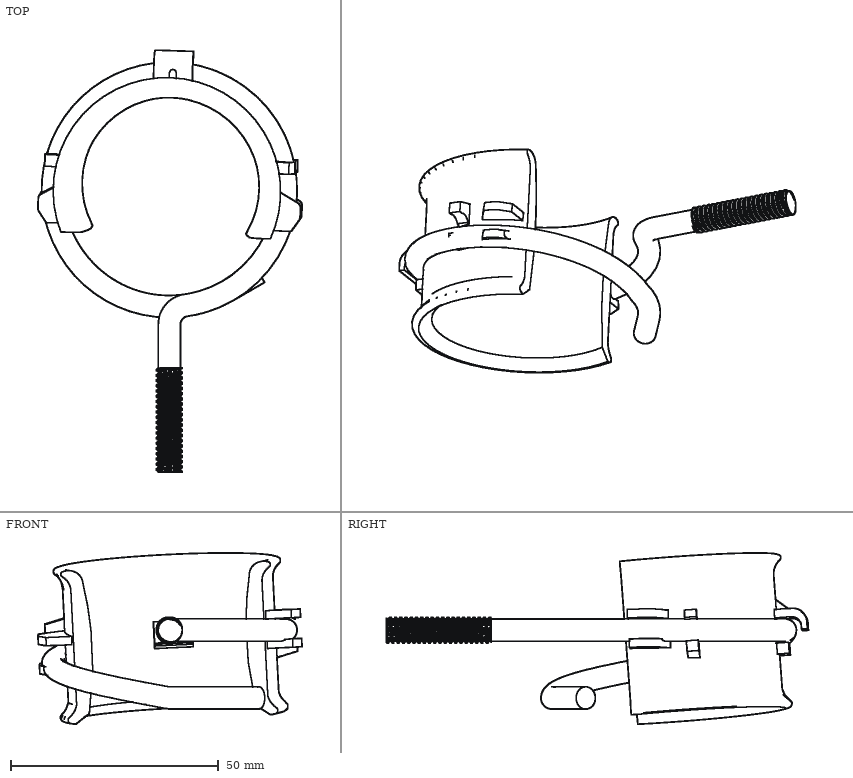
import cadquery as cq
import math


WIRE_RADIUS = 2.69
RING_RADIUS = 28.11
BEND_RADIUS = 4.7
STUD_TIP_Y = -68.0
RING_DROP = 16.4
END_ARC_ANGLE = 30.0
END_LENGTH = 8.7

THREAD_LENGTH = 25.2
THREAD_TURNS = 20
CREST_RADIUS = 3.2
CREST_WIDTH = 0.25
ROOT_WIDTH = 1.0
ROOT_OVERLAP = 0.1

SADDLE_HEIGHT = 37.2
WALL_RADIUS = 25.4
LIP_RADIUS = 27.5
THROAT_RADIUS = 21.5
THROAT_Z = 0.8
MOUTH_RADIUS = 22.8
TOP_MOUTH_DEPTH = 2.9
BOTTOM_MOUTH_DEPTH = 2.4
TOP_FLARE_DEPTH = 5.0
BOTTOM_FLARE_DEPTH = 4.7
FLARE_SAG = 0.5
TOP_FLARE_MIDDLE = 2.8
BOTTOM_FLARE_MIDDLE = 3.3
LIP_TIP_DEPTH = 0.8
LIP_UNDERCUT = 0.3
TOP_LIP_BACK_DEPTH = 1.4
BOTTOM_LIP_BACK_DEPTH = 1.7
TOP_LIP_INSET = (0.5, 0.2)
BOTTOM_LIP_INSET = (0.6, 0.2)
MOUTH_MIDDLE_INSET = (3.3, 0.5)
FOOT_INSET = 1.6
OPENING_Y = -10.7

SADDLE_CENTRE = (0.3, 1.0, -2.2)
SADDLE_TILT_X = 4.3
SADDLE_TILT_Y = -2.9
SADDLE_TURN = -1.9

PLATE_THICKNESS = 2.0
PLATE_GAP = 5.1
PLATE_OFFSET_Z = 1.6
PLATE_TILT = 4.0
PLATE_ROOT_X = 22.9
PLATE_REACH = 31.7
PLATE_BACK_Y = 0.1
PLATE_FRONT_Y = -9.7
PLATE_SLOPE_START_X = 25.9
PLATE_BACK_SLOPE = 3.3
PLATE_FRONT_BEVEL = (2.0, 3.0)
PLATE_CORNER_RADIUS = 1.2

CLAW_Y = 5.5
CLAW_WIDTH = 2.8
CLAW_ROOT_X = 23.9
CLAW_REACH = 30.3
CHANNEL_Z = 0.7
CHANNEL_RADIUS = 3.0
UPPER_CLAW_TOP = 4.7
UPPER_CLAW_SHOULDER = 2.8
UPPER_CLAW_TIP = 0.1
UPPER_CLAW_SHOULDER_INSET = 0.3
UPPER_CLAW_TOP_INSET = 1.6
LOWER_CLAW_TIP = -2.8
LOWER_CLAW_ROOT_TOP = -1.0
LOWER_CLAW_BOTTOM = -5.4
LOWER_CLAW_ROOT_BOTTOM = -7.0

BACK_WIDTH = 9.4
BACK_ROOT_Y = 23.9
HOOK_REACH = 32.6
HOOK_BOTTOM = 3.0
HOOK_OUTER_RADIUS = 3.4
HOOK_INNER_RADIUS = 2.3
HOOK_TIP_THICKNESS = 1.4
HOOK_TIP_Z = -0.1
RIB_WIDTH = 1.7
RIB_FOOT_Y = 28.5
RIB_RISE = 2.6
RIB_ROUNDING = 0.76
LEDGE_ROOT_Y = 21.7
LEDGE_REACH = 27.9
LEDGE_TOP = -3.0
LEDGE_BOTTOM = -5.7
WINDOW_TOP = 2.8
WINDOW_BOTTOM = -3.7



def ring_arc(start, sweep, height):
    """A level stretch of the ring, counterclockwise from the start angle."""
    profile = cq.Workplane("XZ").center(RING_RADIUS, 0).circle(WIRE_RADIUS)
    arc = profile.revolve(sweep, (-RING_RADIUS, 0), (-RING_RADIUS, 1))
    return arc.rotate((0, 0, 0), (0, 0, 1), start).translate((0, 0, height))


def falling_half_turn():
    """Half a helix from the back of the ring, past -X, to the lower front."""
    path = cq.Wire.makeHelix(2 * RING_DROP, RING_DROP, RING_RADIUS, lefthand=True)
    profile = cq.Workplane("XZ").center(RING_RADIUS, 0).circle(WIRE_RADIUS)
    coil = profile.sweep(cq.Workplane(path), isFrenet=True)
    return coil.rotate((0, 0, 0), (0, 0, 1), -90).translate((0, 0, -RING_DROP))


def lower_end():
    """Short level arc and straight end under the stud."""
    arc = ring_arc(-90, END_ARC_ANGLE, -RING_DROP)
    straight = cq.Workplane("XZ", origin=(RING_RADIUS, 0, -RING_DROP)).circle(WIRE_RADIUS)
    straight = straight.extrude(-END_LENGTH).rotate((0, 0, 0), (0, 0, 1), END_ARC_ANGLE - 90)
    return arc.union(straight)


def thread_ridge(start_y):
    """Helical ridge along the stud, trimmed flush with both ends of the thread."""
    pitch = THREAD_LENGTH / THREAD_TURNS
    sunk_radius = WIRE_RADIUS - ROOT_OVERLAP
    path = cq.Wire.makeHelix(pitch, THREAD_LENGTH + 2 * pitch, sunk_radius)
    profile = cq.Workplane("XZ").polyline([
        (sunk_radius, -ROOT_WIDTH / 2),
        (CREST_RADIUS, -CREST_WIDTH / 2),
        (CREST_RADIUS, CREST_WIDTH / 2),
        (sunk_radius, ROOT_WIDTH / 2),
    ]).close()
    ridge = profile.sweep(cq.Workplane(path), isFrenet=True).translate((0, 0, -pitch))
    envelope = cq.Workplane("XY").circle(2 * CREST_RADIUS).extrude(THREAD_LENGTH)
    ridge = ridge.intersect(envelope)
    return ridge.rotate((0, 0, 0), (1, 0, 0), 90).translate((0, start_y, 0))


def make_wire():
    bend_y = -math.sqrt((RING_RADIUS + BEND_RADIUS) ** 2 - BEND_RADIUS ** 2)
    bend_angle = math.degrees(math.atan2(-bend_y, BEND_RADIUS))
    thread_start_y = STUD_TIP_Y + THREAD_LENGTH

    bend = cq.Workplane("XZ", origin=(0, bend_y, 0)).circle(WIRE_RADIUS)
    bend = bend.revolve(bend_angle, (BEND_RADIUS, 1), (BEND_RADIUS, 0))
    stud = cq.Workplane("XZ", origin=(0, bend_y, 0)).circle(WIRE_RADIUS).extrude(bend_y - STUD_TIP_Y)

    wire = ring_arc(-bend_angle, 90 + bend_angle, 0)
    for piece in (bend, stud, falling_half_turn(), lower_end(), thread_ridge(thread_start_y)):
        wire = wire.union(piece)
    return wire



def shell():
    """Flared shell of revolution, cut flat at the front."""
    top = SADDLE_HEIGHT / 2
    bottom = -top
    lip_back = LIP_RADIUS - LIP_UNDERCUT
    flare_middle = WALL_RADIUS + FLARE_SAG
    mouth_middle = (LIP_RADIUS - MOUTH_MIDDLE_INSET[0], top - MOUTH_MIDDLE_INSET[1])
    top_edge = (LIP_RADIUS - TOP_LIP_INSET[0], top - TOP_LIP_INSET[1])
    bottom_edge = (LIP_RADIUS - BOTTOM_LIP_INSET[0], bottom + BOTTOM_LIP_INSET[1])
    bottom_back = (lip_back, bottom + BOTTOM_LIP_BACK_DEPTH)
    profile = (
        cq.Workplane("XZ")
        .moveTo(MOUTH_RADIUS, bottom + BOTTOM_MOUTH_DEPTH)
        .threePointArc((THROAT_RADIUS, THROAT_Z), (MOUTH_RADIUS, top - TOP_MOUTH_DEPTH))
        .threePointArc(mouth_middle, top_edge)
        .threePointArc((LIP_RADIUS, top - LIP_TIP_DEPTH), (lip_back, top - TOP_LIP_BACK_DEPTH))
        .threePointArc((flare_middle, top - TOP_FLARE_MIDDLE), (WALL_RADIUS, top - TOP_FLARE_DEPTH))
        .lineTo(WALL_RADIUS, bottom + BOTTOM_FLARE_DEPTH)
        .threePointArc((flare_middle, bottom + BOTTOM_FLARE_MIDDLE), bottom_back)
        .threePointArc((LIP_RADIUS, bottom + LIP_TIP_DEPTH), bottom_edge)
        .lineTo(LIP_RADIUS - FOOT_INSET, bottom)
        .close()
    )
    body = profile.revolve(360, (0, 0), (0, 1))
    size = 3 * LIP_RADIUS
    opening = cq.Workplane("XY").box(size, size, size).translate((0, OPENING_Y - size / 2, 0))
    return body.cut(opening)


def side_plate(height):
    """Rounded plate beside the opening on the +X side, tilted along the wire."""
    bevel_x, bevel_y = PLATE_FRONT_BEVEL
    plate = (
        cq.Workplane("XY", origin=(0, 0, -PLATE_THICKNESS / 2))
        .polyline([
            (PLATE_ROOT_X, PLATE_BACK_Y),
            (PLATE_SLOPE_START_X, PLATE_BACK_Y),
            (PLATE_REACH, PLATE_BACK_Y - PLATE_BACK_SLOPE),
            (PLATE_REACH, PLATE_FRONT_Y + bevel_y),
            (PLATE_REACH - bevel_x, PLATE_FRONT_Y),
            (PLATE_ROOT_X, PLATE_FRONT_Y),
        ])
        .close()
        .extrude(PLATE_THICKNESS)
        .edges("|Z and >X")
        .fillet(PLATE_CORNER_RADIUS)
    )
    middle_y = (PLATE_BACK_Y + PLATE_FRONT_Y) / 2
    plate = plate.rotate((0, middle_y, 0), (1, middle_y, 0), -PLATE_TILT)
    return plate.translate((0, 0, height))


def claw(outline):
    """Radial claw of the given XZ outline, hollowed where the wire runs through it."""
    plane = cq.Workplane("XZ", origin=(0, CLAW_Y + CLAW_WIDTH / 2, CHANNEL_Z))
    body = plane.polyline(outline).close().extrude(CLAW_WIDTH)
    channel = plane.center(RING_RADIUS, 0).circle(CHANNEL_RADIUS).extrude(CLAW_WIDTH)
    return body.cut(channel)


def side_guides():
    """Two plates and two claws beside the opening on the +X side."""
    spread = (PLATE_GAP + PLATE_THICKNESS) / 2
    guides = [side_plate(PLATE_OFFSET_Z + spread), side_plate(PLATE_OFFSET_Z - spread)]
    guides.append(claw([
        (CLAW_ROOT_X, UPPER_CLAW_TIP),
        (CLAW_REACH, UPPER_CLAW_TIP),
        (CLAW_REACH - UPPER_CLAW_SHOULDER_INSET, UPPER_CLAW_SHOULDER),
        (CLAW_REACH - UPPER_CLAW_TOP_INSET, UPPER_CLAW_TOP),
        (CLAW_ROOT_X, UPPER_CLAW_TOP),
    ]))
    guides.append(claw([
        (CLAW_ROOT_X, LOWER_CLAW_ROOT_TOP),
        (RING_RADIUS, LOWER_CLAW_TIP),
        (CLAW_REACH, LOWER_CLAW_TIP),
        (CLAW_REACH, LOWER_CLAW_BOTTOM),
        (CLAW_ROOT_X, LOWER_CLAW_ROOT_BOTTOM),
    ]))
    return guides


def back_hook():
    """Plate behind the shell that curls down over the wire and thins toward its tip."""
    top = HOOK_BOTTOM + PLATE_THICKNESS
    diagonal = math.sqrt(0.5)
    outer_y = HOOK_REACH - HOOK_OUTER_RADIUS
    outer_z = top - HOOK_OUTER_RADIUS
    tip_inner_y = HOOK_REACH - HOOK_TIP_THICKNESS
    inner_y = tip_inner_y - HOOK_INNER_RADIUS
    inner_z = HOOK_BOTTOM - HOOK_INNER_RADIUS
    outer_middle = (outer_y + HOOK_OUTER_RADIUS * diagonal, outer_z + HOOK_OUTER_RADIUS * diagonal)
    inner_middle = (inner_y + HOOK_INNER_RADIUS * diagonal, inner_z + HOOK_INNER_RADIUS * diagonal)
    return (
        cq.Workplane("YZ", origin=(-BACK_WIDTH / 2, 0, 0))
        .moveTo(BACK_ROOT_Y, top)
        .lineTo(outer_y, top)
        .threePointArc(outer_middle, (HOOK_REACH, outer_z))
        .lineTo(HOOK_REACH, HOOK_TIP_Z)
        .lineTo(tip_inner_y, HOOK_TIP_Z)
        .lineTo(tip_inner_y, inner_z)
        .threePointArc(inner_middle, (inner_y, HOOK_BOTTOM))
        .lineTo(BACK_ROOT_Y, HOOK_BOTTOM)
        .close()
        .extrude(BACK_WIDTH)
    )


def hook_rib():
    """Thin sloping rib with a rounded back between the hook and the wall."""
    base = HOOK_BOTTOM + PLATE_THICKNESS / 2
    top = HOOK_BOTTOM + PLATE_THICKNESS
    slope = RIB_RISE / (RIB_FOOT_Y - WALL_RADIUS)
    sunk_foot_y = RIB_FOOT_Y + (top - base) / slope
    root_top = top + (RIB_FOOT_Y - BACK_ROOT_Y) * slope
    rib = (
        cq.Workplane("YZ", origin=(-RIB_WIDTH / 2, 0, 0))
        .polyline([
            (BACK_ROOT_Y, base),
            (sunk_foot_y, base),
            (BACK_ROOT_Y, root_top),
        ])
        .close()
        .extrude(RIB_WIDTH)
    )
    return rib.faces(">(0, 1, 1)").edges("not |X").fillet(RIB_ROUNDING)


def back_ledge():
    """Plain plate under the wire, opposite the hook."""
    length = LEDGE_REACH - LEDGE_ROOT_Y
    thickness = LEDGE_TOP - LEDGE_BOTTOM
    ledge = cq.Workplane("XY").box(BACK_WIDTH, length, thickness, centered=(True, False, False))
    return ledge.translate((0, LEDGE_ROOT_Y, LEDGE_BOTTOM))


def back_window():
    """Opening through the wall between the hook and the ledge."""
    height = WINDOW_TOP - WINDOW_BOTTOM
    window = cq.Workplane("XY").box(BACK_WIDTH, WALL_RADIUS, height, centered=(True, False, False))
    return window.translate((0, WALL_RADIUS / 2, WINDOW_BOTTOM))


def make_saddle():
    saddle = shell().cut(back_window())
    for part in (back_hook(), hook_rib(), back_ledge()):
        saddle = saddle.union(part)
    for guide in side_guides():
        saddle = saddle.union(guide)
        saddle = saddle.union(guide.rotate((0, 0, 0), (0, 1, 0), 180))
    saddle = saddle.rotate((0, 0, 0), (0, 0, 1), SADDLE_TURN)
    saddle = saddle.rotate((0, 0, 0), (1, 0, 0), SADDLE_TILT_X)
    saddle = saddle.rotate((0, 0, 0), (0, 1, 0), SADDLE_TILT_Y)
    return saddle.translate(SADDLE_CENTRE)


saddle = make_saddle()
wire = make_wire().cut(saddle)

result = cq.Compound.makeCompound([saddle.solids().val(), wire.solids().val()])